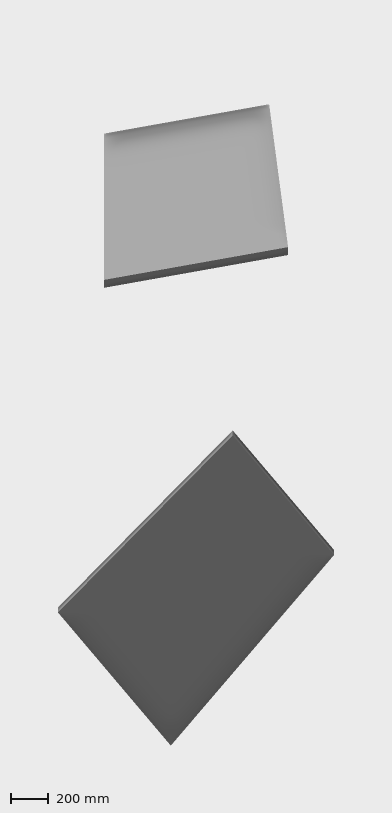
import cadquery as cq

width = 1410.0
depth = 1409.0
thickness = 50.0
left_side = 930.0
right_side = 1036.0

outline = [
    (0, depth - left_side),
    (width, 0),
    (width, right_side),
    (0, depth),
]

result = cq.Workplane("XY").polyline(outline).close().extrude(thickness)